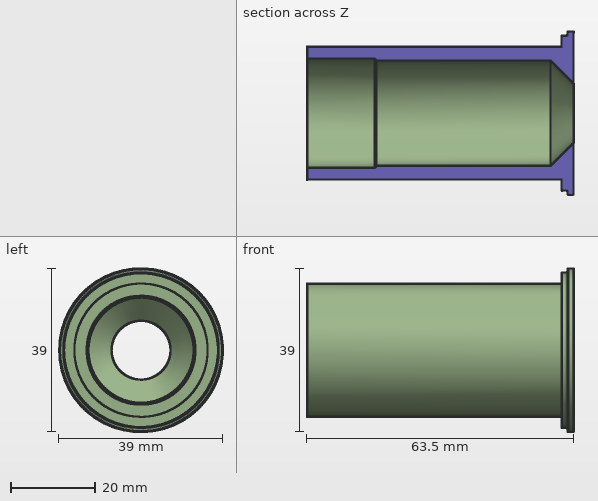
import cadquery as cq

length = 63.5
tube_radius = 31.75 / 2
collar_radius = 37.0 / 2
flange_radius = 39.0 / 2
collar_start = 60.5
flange_start = 62.0
edge_chamfer = 0.205
root_fillet = 0.3
back_round = 0.3

bore_radius = 26.0 / 2
inner_radius = 25.0 / 2
outlet_radius = 14.0 / 2
step_start = 16.0
step_end = step_start + bore_radius - inner_radius
funnel_end = length
funnel_start = funnel_end - (inner_radius - outlet_radius)


def make_body():
    """Revolved tube, collar and end flange with chamfered, filleted and rounded edges."""
    profile = (
        cq.Workplane("XY")
        .lineTo(0, tube_radius)
        .lineTo(collar_start, tube_radius)
        .lineTo(collar_start, collar_radius - edge_chamfer)
        .lineTo(collar_start + edge_chamfer, collar_radius)
        .lineTo(flange_start - root_fillet, collar_radius)
        .radiusArc((flange_start, collar_radius + root_fillet), -root_fillet)
        .lineTo(flange_start, flange_radius - edge_chamfer)
        .lineTo(flange_start + edge_chamfer, flange_radius)
        .lineTo(length - back_round, flange_radius)
        .radiusArc((length, flange_radius - back_round), back_round)
        .lineTo(length, 0)
        .close()
    )
    return profile.revolve(360, (0, 0, 0), (1, 0, 0))


def make_bore():
    """Revolved passage running through the whole length."""
    profile = [
        (0, 0),
        (0, bore_radius),
        (step_start, bore_radius),
        (step_end, inner_radius),
        (funnel_start, inner_radius),
        (funnel_end, outlet_radius),
        (funnel_end, 0),
    ]
    return cq.Workplane("XY").polyline(profile).close().revolve(360, (0, 0, 0), (1, 0, 0))


result = make_body().cut(make_bore())